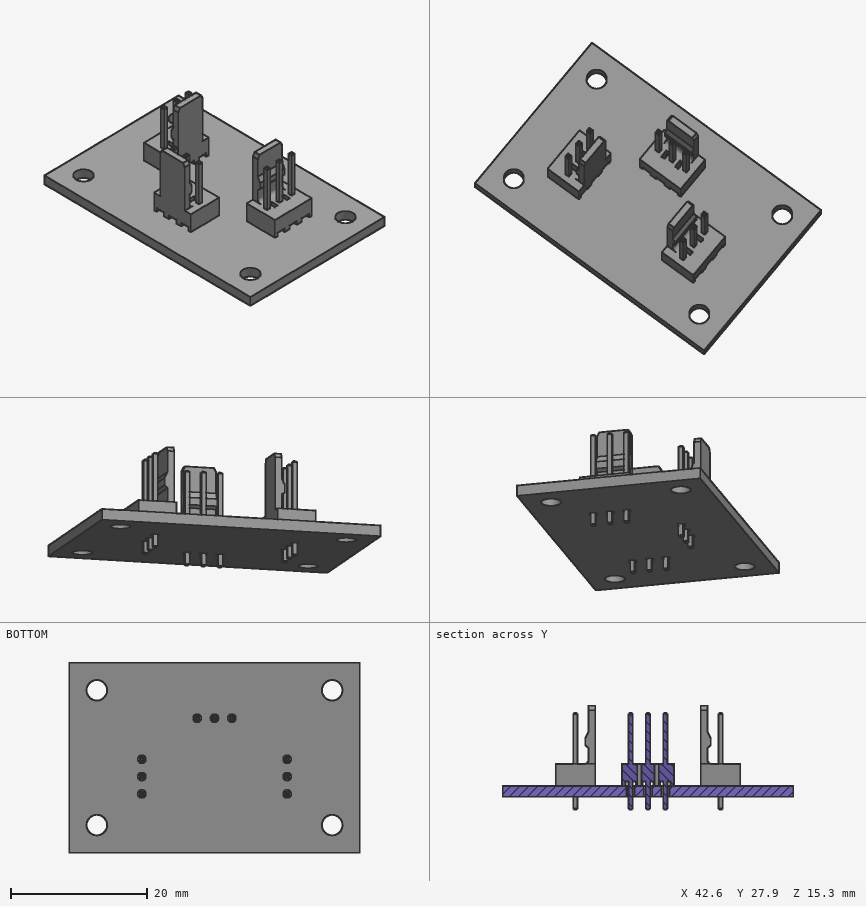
import cadquery as cq

BOARD_LENGTH = 42.65
BOARD_WIDTH = 27.95
BOARD_THICKNESS = 1.62
MOUNT_HOLE_DIAMETER = 3.0
MOUNT_HOLE_X = 17.3
MOUNT_HOLE_Y = 9.9
PIN_HOLE_DIAMETER = 1.2

SIDE_CONNECTOR_X = 10.65
SIDE_CONNECTOR_Y = 2.77
FRONT_CONNECTOR_Y = -5.8
CONNECTOR_PLACES = [
    (0.0, FRONT_CONNECTOR_Y, 0.0),
    (-SIDE_CONNECTOR_X, SIDE_CONNECTOR_Y, 90.0),
    (SIDE_CONNECTOR_X, SIDE_CONNECTOR_Y, -90.0),
]

PIN_COUNT = 3
HOUSING_WIDTH = 7.65
HOUSING_DEPTH = 5.85
HOUSING_HEIGHT = 3.25
PIN_TO_LATCH_FACE = 2.95
PIN_PITCH = HOUSING_WIDTH / PIN_COUNT
CHANNEL_WIDTH = 1.5
CHANNEL_HEIGHT = 0.65
SLOT_WIDTH = 0.6
SLOT_LENGTH = 1.2

PIN_SIZE = 0.7
PIN_TOP = 10.7
PIN_TAIL = 1.88
PIN_TIP_CHAMFER = 0.2

LATCH_WIDTH = 5.08
LATCH_THICKNESS = 1.02
LATCH_TOP = 11.78
LATCH_CORNER_WIDTH = 0.35
LATCH_CORNER_HEIGHT = 0.65
LATCH_ROOT_RADIUS = 0.6
RIDGE_DEPTH = 0.45
RIDGE_BOTTOM = 2.3
RIDGE_FLAT_BOTTOM = 2.75
RIDGE_FLAT_TOP = 3.8
RIDGE_TOP = 4.75

PIN_OFFSETS = [(i - (PIN_COUNT - 1) / 2) * PIN_PITCH for i in range(PIN_COUNT)]
SLOT_OFFSETS = [x + PIN_PITCH / 2 for x in PIN_OFFSETS[:-1]]
LATCH_FACE_Y = -PIN_TO_LATCH_FACE
HOUSING_CENTER_Y = LATCH_FACE_Y + HOUSING_DEPTH / 2


def place(shape, x, y, turn):
    """Turn a connector-frame shape about Z and move it to its spot on the board."""
    return shape.rotate((0, 0, 0), (0, 0, 1), turn).translate((x, y, 0))


def make_board():
    """Plate with four mounting holes and a round hole for every connector pin."""
    board = (
        cq.Workplane("XY")
        .rect(BOARD_LENGTH, BOARD_WIDTH)
        .extrude(-BOARD_THICKNESS)
        .faces(">Z")
        .workplane(origin=(0, 0, 0))
        .rect(2 * MOUNT_HOLE_X, 2 * MOUNT_HOLE_Y, forConstruction=True)
        .vertices()
        .hole(MOUNT_HOLE_DIAMETER)
    )
    pin_holes = (
        cq.Workplane("XY")
        .pushPoints([(x, 0) for x in PIN_OFFSETS])
        .circle(PIN_HOLE_DIAMETER / 2)
        .extrude(-BOARD_THICKNESS)
    )
    for x, y, turn in CONNECTOR_PLACES:
        board = board.cut(place(pin_holes, x, y, turn))
    return board


def make_housing():
    """Block with a channel under each pin and a through slot between neighbouring pins."""
    housing = (
        cq.Workplane("XY")
        .center(0, HOUSING_CENTER_Y)
        .rect(HOUSING_WIDTH, HOUSING_DEPTH)
        .extrude(HOUSING_HEIGHT)
    )
    channels = (
        cq.Workplane("XY")
        .pushPoints([(x, HOUSING_CENTER_Y) for x in PIN_OFFSETS])
        .rect(CHANNEL_WIDTH, HOUSING_DEPTH)
        .extrude(CHANNEL_HEIGHT)
    )
    slots = (
        cq.Workplane("XY")
        .pushPoints([(x, 0) for x in SLOT_OFFSETS])
        .rect(SLOT_WIDTH, SLOT_LENGTH)
        .extrude(HOUSING_HEIGHT)
    )
    return housing.cut(channels).cut(slots)


def make_latch():
    """Side profile of the plate, ridge and root fillet, with the two top corners cut off."""
    inner_y = LATCH_FACE_Y + LATCH_THICKNESS
    ridge_y = inner_y + RIDGE_DEPTH
    half_width = LATCH_WIDTH / 2
    root_top = HOUSING_HEIGHT + LATCH_ROOT_RADIUS
    latch = (
        cq.Workplane("YZ")
        .moveTo(LATCH_FACE_Y, HOUSING_HEIGHT)
        .lineTo(LATCH_FACE_Y, LATCH_TOP)
        .lineTo(inner_y, LATCH_TOP)
        .lineTo(inner_y, HOUSING_HEIGHT + RIDGE_TOP)
        .lineTo(ridge_y, HOUSING_HEIGHT + RIDGE_FLAT_TOP)
        .lineTo(ridge_y, HOUSING_HEIGHT + RIDGE_FLAT_BOTTOM)
        .lineTo(inner_y, HOUSING_HEIGHT + RIDGE_BOTTOM)
        .lineTo(inner_y, root_top)
        .radiusArc((inner_y + LATCH_ROOT_RADIUS, HOUSING_HEIGHT), -LATCH_ROOT_RADIUS)
        .close()
        .extrude(half_width, both=True)
    )
    for side in (-1, 1):
        corner = (
            cq.Workplane("XZ", origin=(0, LATCH_FACE_Y, 0))
            .moveTo(side * half_width, LATCH_TOP)
            .lineTo(side * (half_width - LATCH_CORNER_WIDTH), LATCH_TOP)
            .lineTo(side * half_width, LATCH_TOP - LATCH_CORNER_HEIGHT)
            .close()
            .extrude(-LATCH_THICKNESS)
        )
        latch = latch.cut(corner)
    return latch


def make_pin(x):
    """Square pin with both tips chamfered, reaching down through the board."""
    bottom = -BOARD_THICKNESS - PIN_TAIL
    return (
        cq.Workplane("XY", origin=(x, 0, bottom))
        .rect(PIN_SIZE, PIN_SIZE)
        .extrude(PIN_TOP - bottom)
        .faces("<Z or >Z")
        .chamfer(PIN_TIP_CHAMFER)
    )


def make_connector():
    """Housing, latch and pins as one solid, with the middle pin on the Z axis."""
    connector = make_housing().union(make_latch())
    for x in PIN_OFFSETS:
        connector = connector.union(make_pin(x))
    return connector


board = make_board()
connectors = []
for x, y, turn in CONNECTOR_PLACES:
    connectors.append(place(make_connector(), x, y, turn).val())

result = cq.Compound.makeCompound([board.val(), *connectors])